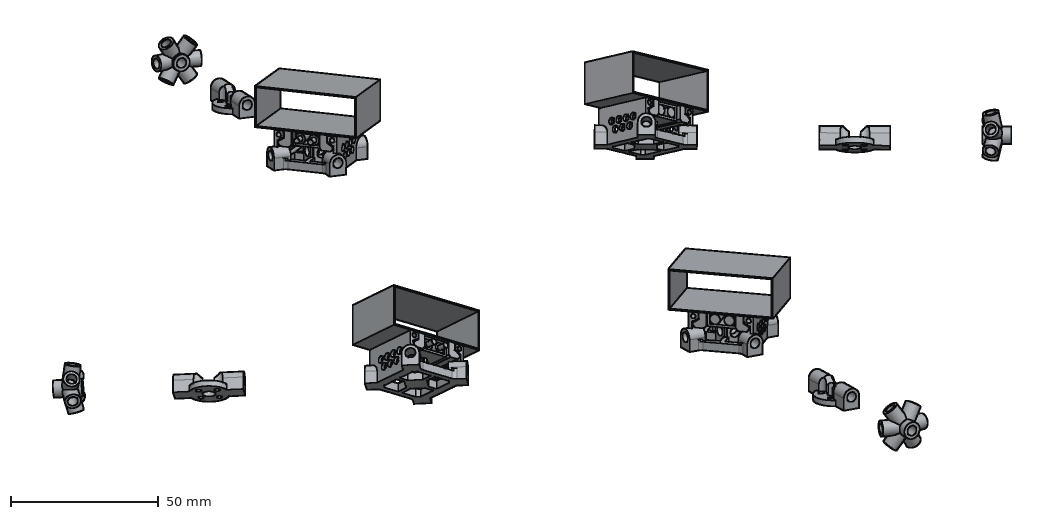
import cadquery as cq
import math

ROOT_2 = math.sqrt(2)

SOCKET_WIDTH = 6.0
SOCKET_BORE = 3.5
SOCKET_AXIS_Z = 4.5

BASE_SIDE = 22.8
BAR_HEIGHT = 3.0
FRONT_BAR_WIDTH = 2.4
SIDE_BAR_WIDTH = 3.5
BLEND_RADIUS = 2.2
BLEND_HEIGHT = 3.9
LEG_INNER = 11.1
LEG_OUTER = 17.3
CROSS_REACH = 3.8
CROSS_HEIGHT = 8.1
RIB_WIDTH = 1.7

UPPER_DEPTH = 22.3
WALL_THICKNESS = 1.2
WALL_TOP = 13.3
LIP_WIDTH = 3.4
LIP_BOTTOM = 11.1
LIP_SLOPE = 1.3
PIN_HOLE = 1.6
PIN_HOLE_X = 9.7
PIN_HOLE_Z = 11.9
VENT_HOLE = 2.5
VENT_PITCH = 3.4
VENT_ROWS = [(4, 7.8), (3, 4.8)]

TRAY_LENGTH = 36.7
TRAY_HEIGHT = 14.6
TRAY_FRONT_Y = -11.0
TRAY_BACK_Y = 11.6
SHEET = 0.5
TRAY_BOTTOM = 13.5
RAIL_OUTER_X = 7.7
RAIL_BOTTOM = 7.8
FOOT_OUTER_X = 9.8
FOOT_SIDE_TOP = 9.6
FOOT_SLOPE_TOP = 10.9
FOOT_CHAMFER = 0.8

MOTOR_DIAMETER = 3.6
MOTOR_X = 2.5
SHAFT_DIAMETER = 2.0
SHAFT_END_Y = -12.8
MOTOR_FRONT_Y = -9.6
MOTOR_BACK_Y = 9.6

SLEEVE_WALL = 0.9
SLEEVE_INNER_LENGTH = 2 * MOTOR_X + MOTOR_DIAMETER
SLEEVE_OUTER_LENGTH = SLEEVE_INNER_LENGTH + 2 * SLEEVE_WALL
RAIL_INNER_X = SLEEVE_OUTER_LENGTH / 2
MOTOR_Z = TRAY_BOTTOM - SLEEVE_WALL - MOTOR_DIAMETER / 2

MOUNT_X = -50.0
MOUNT_Y = 50.0
MOUNT_REACH = 12.0
DISC_DIAMETER = 14.2
DISC_THICKNESS = 2.1
DISC_HOLE = 4.5
SCREW_HOLE = 2.0
SCREW_HEAD = 3.6
SCREW_RADIUS = 4.5
MOUNT_INNER = 2.0
END_SLOPE_TOP = 4.4
MOUNT_BORE_END = 5.4

HUB_X = -83.6
HUB_Y = 83.6
ARM_DIAMETER = 5.5
STEEP_ANGLE = 56
ARM_LENGTH = 8.3
ARM_TILT = 12.0
ARM_BORE_DEPTH = 4.9
AXLE_LONG_END = 5.3
AXLE_FLAT_END = 4.5


def socket(inner, outer):
    """Arched block along +X with its flat foot on z = 0."""
    half = SOCKET_WIDTH / 2
    return (
        cq.Workplane("YZ").workplane(offset=inner)
        .moveTo(-half, 0)
        .lineTo(half, 0)
        .lineTo(half, SOCKET_AXIS_Z)
        .threePointArc((0, SOCKET_AXIS_Z + half), (-half, SOCKET_AXIS_Z))
        .close()
        .extrude(outer - inner)
    )


def rod_bore(inner, outer):
    """Rod bore along +X at the socket axis height."""
    return (
        cq.Workplane("YZ").workplane(offset=inner)
        .center(0, SOCKET_AXIS_Z)
        .circle(SOCKET_BORE / 2)
        .extrude(outer - inner)
    )


def turned(shape, angle):
    return shape.rotate((0, 0, 0), (0, 0, 1), angle)


def y_prism(profile, y_start, y_end):
    """Extrude an XZ profile between two Y positions."""
    return profile.extrude(-(y_end - y_start)).translate((0, y_start, 0))


def base_bars():
    """Low square frame with a cross of ribs and blends toward the corner sockets."""
    opening = cq.Workplane("XY").rect(
        BASE_SIDE - 2 * SIDE_BAR_WIDTH, BASE_SIDE - 2 * FRONT_BAR_WIDTH
    ).extrude(BAR_HEIGHT)
    frame = cq.Workplane("XY").rect(BASE_SIDE, BASE_SIDE).extrude(BAR_HEIGHT).cut(opening)
    along_x = cq.Workplane("XY").rect(BASE_SIDE, RIB_WIDTH).extrude(BAR_HEIGHT)
    along_y = cq.Workplane("XY").rect(RIB_WIDTH, BASE_SIDE).extrude(BAR_HEIGHT)
    return frame.union(along_x).union(along_y)


def corner_blend():
    """Concave blend where the front bar meets the side of the front-left socket."""
    front_y = -BASE_SIDE / 2
    corner_x = front_y + SOCKET_WIDTH / ROOT_2
    tangent = BLEND_RADIUS * math.tan(math.radians(22.5))
    bar_end = (corner_x + tangent, front_y)
    leg_end = (corner_x - tangent / ROOT_2, front_y - tangent / ROOT_2)
    bow = math.radians(22.5)
    middle = (
        bar_end[0] - BLEND_RADIUS * math.sin(bow),
        front_y - BLEND_RADIUS + BLEND_RADIUS * math.cos(bow),
    )
    return (
        cq.Workplane("XY")
        .moveTo(corner_x, front_y)
        .lineTo(*bar_end)
        .threePointArc(middle, leg_end)
        .close()
        .extrude(BLEND_HEIGHT)
    )


def side_wall():
    """Left wall: a thin plate with a thicker lip at the top and pin and vent holes."""
    outer_x = -BASE_SIDE / 2
    inner_x = outer_x + WALL_THICKNESS
    lip_x = outer_x + LIP_WIDTH
    profile = (
        cq.Workplane("XZ")
        .moveTo(outer_x, 0)
        .lineTo(inner_x, 0)
        .lineTo(inner_x, LIP_BOTTOM - LIP_SLOPE)
        .lineTo(lip_x, LIP_BOTTOM)
        .lineTo(lip_x, WALL_TOP)
        .lineTo(outer_x, WALL_TOP)
        .close()
    )
    wall = y_prism(profile, -UPPER_DEPTH / 2, UPPER_DEPTH / 2)
    pin = cq.Workplane("XZ").center(-PIN_HOLE_X, PIN_HOLE_Z).circle(PIN_HOLE / 2)
    wall = wall.cut(y_prism(pin, -UPPER_DEPTH / 2, UPPER_DEPTH / 2))
    for count, height in VENT_ROWS:
        vents = (
            cq.Workplane("YZ").workplane(offset=outer_x)
            .center(0, height)
            .rarray(VENT_PITCH, 1.1, count, 1)
            .circle(VENT_HOLE / 2)
            .extrude(WALL_THICKNESS)
        )
        wall = wall.cut(vents)
    return wall


def build_base():
    base = base_bars()
    wall = side_wall()
    base = base.union(wall).union(wall.mirror("YZ"))
    blend = corner_blend()
    blends = blend.union(blend.mirror("YZ"))
    base = base.union(blends).union(blends.mirror("XZ"))
    cross_arm = (
        cq.Workplane("XY").rect(2 * CROSS_REACH, SOCKET_WIDTH).extrude(CROSS_HEIGHT)
    )
    for angle in (45, 135, 225, 315):
        base = base.union(turned(socket(LEG_INNER, LEG_OUTER), angle))
        base = base.union(turned(cross_arm, angle))
    for angle in (45, 135, 225, 315):
        base = base.cut(turned(rod_bore(0, CROSS_REACH), angle))
        base = base.cut(turned(rod_bore(LEG_INNER, LEG_OUTER), angle))
    return base


def tray():
    """Rectangular tube open toward the front and the back."""
    center_z = TRAY_BOTTOM + TRAY_HEIGHT / 2
    outer = cq.Workplane("XZ").center(0, center_z).rect(TRAY_LENGTH, TRAY_HEIGHT)
    inner = cq.Workplane("XZ").center(0, center_z).rect(
        TRAY_LENGTH - 2 * SHEET, TRAY_HEIGHT - 2 * SHEET
    )
    return y_prism(outer, TRAY_FRONT_Y, TRAY_BACK_Y).cut(y_prism(inner, TRAY_FRONT_Y, TRAY_BACK_Y))


def rail():
    """Left rail, whose foot hooks under the lip of the side wall."""
    profile = (
        cq.Workplane("XZ")
        .moveTo(-RAIL_INNER_X, TRAY_BOTTOM)
        .lineTo(-RAIL_INNER_X, RAIL_BOTTOM + FOOT_CHAMFER)
        .lineTo(-RAIL_INNER_X - FOOT_CHAMFER, RAIL_BOTTOM)
        .lineTo(-FOOT_OUTER_X + FOOT_CHAMFER, RAIL_BOTTOM)
        .lineTo(-FOOT_OUTER_X, RAIL_BOTTOM + FOOT_CHAMFER)
        .lineTo(-FOOT_OUTER_X, FOOT_SIDE_TOP)
        .lineTo(-RAIL_OUTER_X, FOOT_SLOPE_TOP)
        .lineTo(-RAIL_OUTER_X, TRAY_BOTTOM)
        .close()
    )
    return y_prism(profile, -UPPER_DEPTH / 2, UPPER_DEPTH / 2)


def motor_sleeve():
    """Rectangular sleeve that wraps both motors."""
    outer = cq.Workplane("XZ").center(0, MOTOR_Z).rect(
        SLEEVE_OUTER_LENGTH, MOTOR_DIAMETER + 2 * SLEEVE_WALL
    )
    inner = cq.Workplane("XZ").center(0, MOTOR_Z).rect(SLEEVE_INNER_LENGTH, MOTOR_DIAMETER)
    return y_prism(outer, MOTOR_FRONT_Y, MOTOR_BACK_Y).cut(y_prism(inner, MOTOR_FRONT_Y, MOTOR_BACK_Y))


def build_carrier():
    left = rail()
    return tray().union(left).union(left.mirror("YZ")).union(motor_sleeve())


def build_motor(x):
    can = cq.Workplane("XZ").center(x, MOTOR_Z).circle(MOTOR_DIAMETER / 2)
    shaft = cq.Workplane("XZ").center(x, MOTOR_Z).circle(SHAFT_DIAMETER / 2)
    return y_prism(can, MOTOR_FRONT_Y, MOTOR_BACK_Y).union(y_prism(shaft, SHAFT_END_Y, MOTOR_FRONT_Y))


def mount_socket():
    """Socket along +X whose inner end slopes down at 45 degrees toward the disc centre."""
    top = SOCKET_AXIS_Z + SOCKET_WIDTH / 2
    slope = (
        cq.Workplane("XZ")
        .moveTo(0, top - END_SLOPE_TOP)
        .lineTo(END_SLOPE_TOP, top)
        .lineTo(0, top)
        .close()
        .extrude(SOCKET_WIDTH / 2, both=True)
    )
    return socket(MOUNT_INNER, MOUNT_REACH).cut(slope)


def build_disc_mount():
    mount = cq.Workplane("XY").circle(DISC_DIAMETER / 2).extrude(DISC_THICKNESS)
    socket_angles = (135, 315)
    for angle in socket_angles:
        mount = mount.union(turned(mount_socket(), angle))
    for angle in socket_angles:
        mount = mount.cut(turned(rod_bore(MOUNT_BORE_END, MOUNT_REACH), angle))
    top = SOCKET_AXIS_Z + SOCKET_WIDTH / 2
    screws = cq.Workplane("XY").polarArray(SCREW_RADIUS, 0, 360, 4)
    mount = mount.cut(screws.circle(SCREW_HOLE / 2).extrude(top))
    heads = cq.Workplane("XY").workplane(offset=DISC_THICKNESS).polarArray(SCREW_RADIUS, 0, 360, 4)
    mount = mount.cut(heads.circle(SCREW_HEAD / 2).extrude(top))
    mount = mount.cut(cq.Workplane("XY").circle(DISC_HOLE / 2).extrude(top))
    return mount.translate((MOUNT_X, MOUNT_Y, 0))


def build_hub():
    """Axle tube along Z ringed by leaning arms, then laid along (-1, 1, 0)."""
    axle_length = AXLE_LONG_END + AXLE_FLAT_END
    axle_start = cq.Workplane("XY").workplane(offset=-AXLE_FLAT_END)
    hub = axle_start.circle(SOCKET_WIDTH / 2).extrude(axle_length)
    bores = axle_start.circle(SOCKET_BORE / 2).extrude(axle_length)
    arm = cq.Workplane("XY").circle(ARM_DIAMETER / 2).extrude(ARM_LENGTH)
    arm_bore = (
        cq.Workplane("XY").workplane(offset=ARM_LENGTH - ARM_BORE_DEPTH)
        .circle(SOCKET_BORE / 2)
        .extrude(ARM_BORE_DEPTH)
    )
    lean = 90 + ARM_TILT
    half_ring = (0, STEEP_ANGLE, 180 - STEEP_ANGLE)
    for angle in [start + half_turn for half_turn in (0, 180) for start in half_ring]:
        hub = hub.union(turned(arm.rotate((0, 0, 0), (0, 1, 0), lean), angle))
        bores = bores.union(turned(arm_bore.rotate((0, 0, 0), (0, 1, 0), lean), angle))
    hub = hub.cut(bores)
    hub = hub.rotate((0, 0, 0), (1, 0, 0), -90)
    return turned(hub, 45).translate((HUB_X, HUB_Y, SOCKET_AXIS_Z))


base = build_base()
carrier = build_carrier()
motors = [build_motor(x) for x in (-MOTOR_X, MOTOR_X)]
disc_mount = build_disc_mount()
hub = build_hub()

result = cq.Compound.makeCompound(
    [base.val(), carrier.val(), *[motor.val() for motor in motors], disc_mount.val(), hub.val()]
)